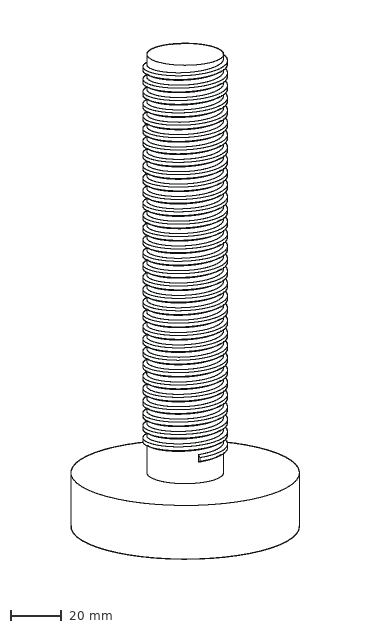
import cadquery as cq

total_height = 194.0
head_diameter = 90.0
head_height = 22.1
shank_radius = 15.1

thread_radius = 16.7
thread_start = 32.2
thread_rise = 160.0
thread_turns = 31.5
pitch = thread_rise / thread_turns
root_width = 3.1
crest_width = 1.5
root_overlap = 0.4


def make_head():
    return cq.Workplane("XY").circle(head_diameter / 2).extrude(head_height)


def make_shank():
    return cq.Workplane("XY").circle(shank_radius).extrude(total_height)


def make_thread():
    """Helical trapezoidal ridge."""
    helix = cq.Wire.makeHelix(pitch, thread_rise, shank_radius)
    flank_slope = (root_width - crest_width) / 2 / (thread_radius - shank_radius)
    buried_half = root_width / 2 + root_overlap * flank_slope
    inner_radius = shank_radius - root_overlap
    profile = [
        (inner_radius, -buried_half),
        (thread_radius, -crest_width / 2),
        (thread_radius, crest_width / 2),
        (inner_radius, buried_half),
    ]
    ridge = cq.Workplane("XZ").polyline(profile).close().sweep(cq.Workplane(helix), isFrenet=True)
    return ridge.translate((0, 0, thread_start))


result = make_head().union(make_shank()).union(make_thread())